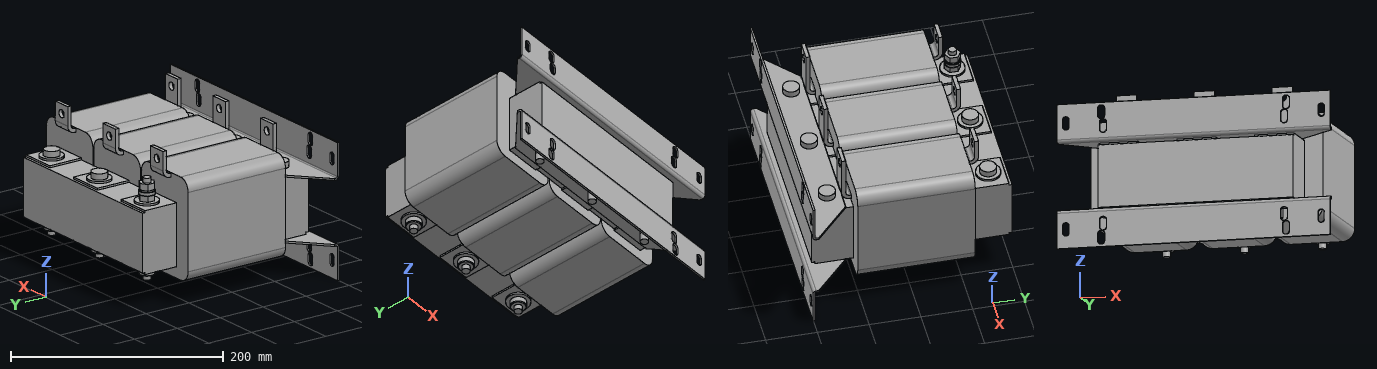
import cadquery as cq


total_width = 267.0
total_depth = 201.0
total_height = 152.0

leg_pitch = 76.0
leg_width = 38.2
leg_xs = [-leg_pitch, 0.0, leg_pitch]
core_width = 2 * leg_pitch + leg_width
core_front = 7.5
core_bottom = 39.2
core_height = 60.0
core_top = core_bottom + core_height
core_mid_z = core_bottom + core_height / 2
yoke_depth = 38.0
front_yoke_y = core_front + yoke_depth / 2
rear_yoke_y = total_depth - yoke_depth / 2

sheet = 2.0
pad_setback = 3.0
pad_top = core_top + sheet

coil_width = 74.5
coil_front = 47.8
coil_rear = 161.3
coil_bottom = 25.4
coil_top = 129.0
coil_radius = 12.0

bend_radius = 3.2
bracket_rear = 40.3
bracket_slant_start = 5.5
flange_height = core_bottom - sheet
end_slot_x = 124.7
end_slot_edge = 18.5
end_slot_length = 12.5
end_slot_width = 6.1
outer_slot_x = 90.2
outer_slot_edge = 9.0
inner_slot_x = 88.5
inner_slot_edge = 22.5
pair_slot_length = 13.0
pair_slot_width = 7.0

terminal_width = 20.0
terminal_thickness = 4.0
terminal_reach = 9.3
terminal_bend = 8.0
terminal_hole = 8.0
terminal_hole_edge = 10.0
front_terminal_z = 104.0
rear_terminal_z = 124.5
terminal_embed = 2.7

bolt_diameter = 8.0
bolt_bottom = 23.8
head_diameter = 16.0
head_height = 6.1
washer_diameter = 24.0
hex_corners = 16.0
bottom_nut_height = 6.1
bottom_nut_chamfer = 0.8
stud_top = 126.0
first_nut_height = 6.1
small_washer_diameter = 16.0
washer_pair_height = 3.5
spring_washer_height = 1.5
spring_washer_diameter = 14.2
second_nut_height = 6.7


def block(x_mid, width, y0, y1, z0, z1):
    """Box centred on x_mid that spans y0..y1 and z0..z1."""
    box = cq.Workplane("XY").box(width, y1 - y0, z1 - z0, centered=(True, False, False))
    return box.translate((x_mid, y0, z0))


def cylinder(x, y, z0, z1, diameter):
    """Upright cylinder spanning z0..z1."""
    return cq.Workplane("XY").circle(diameter / 2).extrude(z1 - z0).translate((x, y, z0))


def hex_nut(x, y, z0, height):
    """Upright hexagon with two corners pointing along Y."""
    nut = cq.Workplane("XY").polygon(6, hex_corners).extrude(height)
    return nut.rotate((0, 0, 0), (0, 0, 1), 90).translate((x, y, z0))


def mirror_z(shape):
    """Mirror about the mid height of the core."""
    return shape.mirror("XY", (0, 0, core_mid_z))


def core():
    """Yokes, with spacers that close the narrow slits next to the coils, plus legs and pads."""
    body = block(0, core_width, core_front, coil_front, core_bottom, core_top)
    body = body.union(block(0, core_width, coil_rear, total_depth, core_bottom, core_top))
    for x in leg_xs:
        body = body.union(block(
            x, leg_width, core_front + pad_setback, total_depth - pad_setback,
            core_bottom - sheet, pad_top))
    return body


def coil(x):
    body = block(x, coil_width, coil_front, coil_rear, coil_bottom, coil_top)
    return body.edges("|Y").fillet(coil_radius)


def slots(x, z, length, width):
    """Vertical slots through the flange at +x and -x."""
    cutter = cq.Workplane("XZ").pushPoints([(-x, z), (x, z)]).slot2D(length, width, 90)
    return cutter.extrude(2 * sheet, both=True)


def lower_bracket():
    plate_top = flange_height
    section = (
        cq.Workplane("YZ")
        .moveTo(0, 0)
        .lineTo(0, plate_top - bend_radius)
        .radiusArc((bend_radius, plate_top), bend_radius)
        .lineTo(bracket_rear, plate_top)
        .lineTo(bracket_rear, plate_top - sheet)
        .lineTo(bend_radius, plate_top - sheet)
        .radiusArc((sheet, plate_top - bend_radius), -(bend_radius - sheet))
        .lineTo(sheet, 0)
        .close()
        .extrude(total_width / 2, both=True)
    )
    outline = (
        cq.Workplane("XY")
        .polyline([
            (-total_width / 2, 0),
            (total_width / 2, 0),
            (total_width / 2, bracket_slant_start),
            (core_width / 2, bracket_rear),
            (-core_width / 2, bracket_rear),
            (-total_width / 2, bracket_slant_start),
        ])
        .close()
        .extrude(plate_top)
    )
    bracket = section.intersect(outline)
    bracket = bracket.cut(slots(end_slot_x, end_slot_edge, end_slot_length, end_slot_width))
    bracket = bracket.cut(slots(outer_slot_x, outer_slot_edge, pair_slot_length, pair_slot_width))
    return bracket.cut(slots(inner_slot_x, inner_slot_edge, pair_slot_length, pair_slot_width))


def terminal(x, coil_face, bar_bottom, outward):
    """Bar leaving a coil face at bar_bottom and bent upright; outward is the Y sign."""
    bend_top = bar_bottom + terminal_bend
    bar_top = bar_bottom + terminal_thickness
    inner_bend = terminal_bend - terminal_thickness
    outer_y = coil_face + outward * terminal_reach
    inner_y = outer_y - outward * terminal_thickness
    bend_y = outer_y - outward * terminal_bend
    root_y = coil_face - outward * terminal_embed
    bar = (
        cq.Workplane("YZ")
        .moveTo(root_y, bar_bottom)
        .lineTo(bend_y, bar_bottom)
        .radiusArc((outer_y, bend_top), -outward * terminal_bend)
        .lineTo(outer_y, total_height)
        .lineTo(inner_y, total_height)
        .lineTo(inner_y, bend_top)
        .radiusArc((bend_y, bar_top), outward * inner_bend)
        .lineTo(root_y, bar_top)
        .close()
        .extrude(terminal_width / 2, both=True)
    )
    hole = (
        cq.Workplane("XZ", origin=(0, outer_y, 0))
        .center(0, total_height - terminal_hole_edge)
        .circle(terminal_hole / 2)
        .extrude(2 * terminal_thickness, both=True)
    )
    return bar.cut(hole).translate((x, 0, 0))


def front_bolt(x):
    """Bolt with a round head on the upper bracket and its shank below the lower one."""
    head_base = pad_top + sheet
    bolt = cylinder(x, front_yoke_y, bolt_bottom, head_base, bolt_diameter)
    return bolt.union(cylinder(x, front_yoke_y, head_base, head_base + head_height, head_diameter))


def rear_bolt_base(x):
    """Shank through the rear yoke with both washers and the round nut underneath."""
    washer_top = pad_top + sheet
    bolt = cylinder(x, rear_yoke_y, bolt_bottom, washer_top, bolt_diameter)
    washer = cylinder(x, rear_yoke_y, pad_top, washer_top, washer_diameter)
    nut_top = core_bottom - 2 * sheet
    nut = cylinder(x, rear_yoke_y, nut_top - bottom_nut_height, nut_top, head_diameter)
    nut = nut.faces("<Z").chamfer(bottom_nut_chamfer)
    return bolt.union(washer).union(mirror_z(washer)).union(nut)


def rear_bolt(x):
    head_base = pad_top + sheet
    head = cylinder(x, rear_yoke_y, head_base, head_base + head_height, head_diameter)
    return rear_bolt_base(x).union(head)


def earth_stud(x):
    """Rear bolt extended upward with two hex nuts and washers between them."""
    first_nut_z = pad_top + sheet
    washers_z = first_nut_z + first_nut_height
    spring_z = washers_z + washer_pair_height
    second_nut_z = spring_z + spring_washer_height
    stud = rear_bolt_base(x)
    stud = stud.union(cylinder(x, rear_yoke_y, first_nut_z, stud_top, bolt_diameter))
    stud = stud.union(hex_nut(x, rear_yoke_y, first_nut_z, first_nut_height))
    stud = stud.union(cylinder(x, rear_yoke_y, washers_z, spring_z, small_washer_diameter))
    stud = stud.union(cylinder(x, rear_yoke_y, spring_z, second_nut_z, spring_washer_diameter))
    return stud.union(hex_nut(x, rear_yoke_y, second_nut_z, second_nut_height))


result = core()
result = result.union(lower_bracket())
result = result.union(mirror_z(lower_bracket()))
for leg_x in leg_xs:
    result = result.union(coil(leg_x))
    result = result.union(terminal(leg_x, coil_front, front_terminal_z, -1))
    result = result.union(terminal(leg_x, coil_rear, rear_terminal_z, 1))
    result = result.union(front_bolt(leg_x))
result = result.union(earth_stud(leg_xs[0]))
for leg_x in leg_xs[1:]:
    result = result.union(rear_bolt(leg_x))